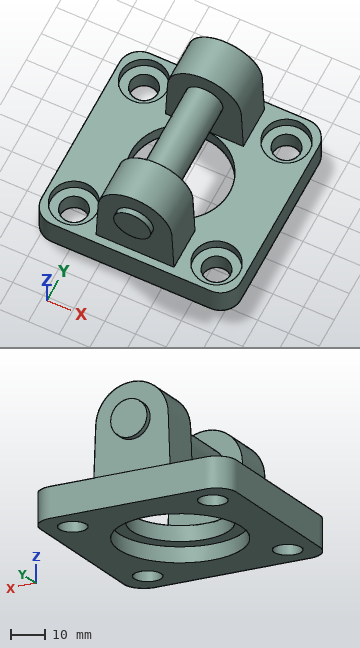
import cadquery as cq
import math

plate_side = 65.0
plate_thickness = 10.0
corner_radius = 6.6
bore_diameter = 32.0
recess_diameter = 40.7
recess_depth = plate_thickness / 2

hole_spacing = 46.4
hole_diameter = 9.0
counterbore_diameter = 15.0
counterbore_depth = 3.5

total_height = 39.0
lug_radius = 12.0
lug_base_width = 25.35
lug_thickness = 14.0
lug_outer_span = 60.0
pin_diameter = 12.0
pin_length = 63.8

axis_height = total_height - lug_radius


def make_plate():
    """Rounded square plate with a stepped central bore and counterbored corner holes."""
    plate = (
        cq.Workplane("XY")
        .rect(plate_side, plate_side)
        .extrude(plate_thickness)
        .edges("|Z")
        .fillet(corner_radius)
        .faces(">Z")
        .workplane()
        .hole(bore_diameter)
        .faces(">Z")
        .workplane()
        .rect(hole_spacing, hole_spacing, forConstruction=True)
        .vertices()
        .cboreHole(hole_diameter, counterbore_diameter, counterbore_depth)
    )
    recess = cq.Workplane("XY").circle(recess_diameter / 2).extrude(recess_depth)
    return plate.cut(recess)


def make_lug(outer_y):
    """Tapered lug whose flanks run tangent into its round top."""
    half_base = lug_base_width / 2
    rise = axis_height - plate_thickness
    tangent_angle = math.acos(lug_radius / math.hypot(half_base, rise)) - math.atan2(rise, half_base)
    tangent_x = lug_radius * math.cos(tangent_angle)
    tangent_z = axis_height + lug_radius * math.sin(tangent_angle)
    return (
        cq.Workplane("XZ", origin=(0, outer_y, 0))
        .moveTo(-half_base, plate_thickness)
        .lineTo(half_base, plate_thickness)
        .lineTo(tangent_x, tangent_z)
        .threePointArc((0, total_height), (-tangent_x, tangent_z))
        .close()
        .extrude(lug_thickness)
    )


def make_pin():
    """Round pin through both lugs, projecting slightly at each end."""
    return (
        cq.Workplane("XZ", origin=(0, 0, axis_height))
        .circle(pin_diameter / 2)
        .extrude(pin_length / 2, both=True)
    )


result = make_plate()
for lug_y in (lug_outer_span / 2, lug_thickness - lug_outer_span / 2):
    result = result.union(make_lug(lug_y))
result = result.union(make_pin())